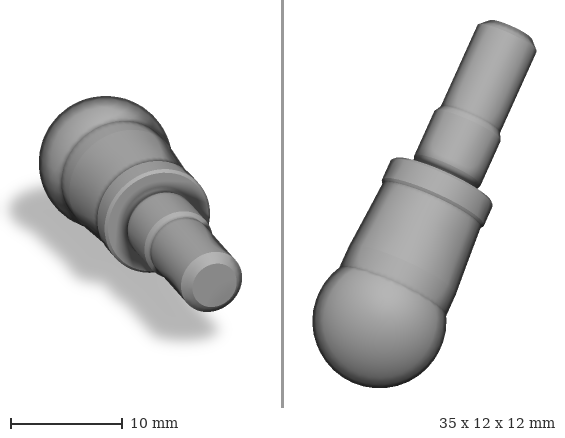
import cadquery as cq
import math

TOTAL_LENGTH = 35.0

BALL_RADIUS = 12.0 / 2

NECK_RADIUS = 10.5 / 2
NECK_END = 11.02
TAPER_END = 17.55
TAPER_END_RADIUS = 9.62 / 2
WAIST_SAG = 0.01

COLLAR_RADIUS = 10.0 / 2
COLLAR_START = 17.8
COLLAR_END = 20.0
COLLAR_CHAMFER = 0.25

RELIEF_RADIUS = 6.12 / 2
RELIEF_FILLET = 0.3
RELIEF_FLAT_LENGTH = 0.1
SEAT_RADIUS = 6.5 / 2
SEAT_START = 21.0
SEAT_END = 25.45
SHANK_RADIUS = 5.8 / 2
SHANK_START = 26.08
TIP_CHAMFER = 0.8


def revolve_about_x(profile):
    """Turn a closed half-profile, drawn as (x, radius), about the X axis."""
    return profile.close().revolve(360, (0, 0, 0), (1, 0, 0))


def make_ball():
    """Full sphere whose tip touches the YZ plane."""
    return cq.Workplane("XY").sphere(BALL_RADIUS).translate((BALL_RADIUS, 0, 0))


def make_stud():
    """Socketed neck, waisted taper, collar, relief groove, seat and shank."""
    socket_rim = BALL_RADIUS + math.sqrt(BALL_RADIUS**2 - NECK_RADIUS**2)
    socket_bottom = 2 * BALL_RADIUS
    arc_offset = BALL_RADIUS * math.sqrt(0.5)
    socket_middle = (BALL_RADIUS + arc_offset, arc_offset)
    collar_face_radius = COLLAR_RADIUS - COLLAR_CHAMFER
    relief_start = COLLAR_END + RELIEF_FILLET
    fillet_offset = RELIEF_FILLET * (1 - math.sqrt(0.5))
    fillet_middle = (COLLAR_END + fillet_offset, RELIEF_RADIUS + fillet_offset)
    profile = (
        cq.Workplane("XY")
        .moveTo(socket_bottom, 0)
        .threePointArc(socket_middle, (socket_rim, NECK_RADIUS))
        .lineTo(NECK_END, NECK_RADIUS)
        .sagittaArc((TAPER_END, TAPER_END_RADIUS), -WAIST_SAG)
        .lineTo(COLLAR_START, COLLAR_RADIUS)
        .lineTo(COLLAR_END - COLLAR_CHAMFER, COLLAR_RADIUS)
        .lineTo(COLLAR_END, collar_face_radius)
        .lineTo(COLLAR_END, RELIEF_RADIUS + RELIEF_FILLET)
        .threePointArc(fillet_middle, (relief_start, RELIEF_RADIUS))
        .lineTo(relief_start + RELIEF_FLAT_LENGTH, RELIEF_RADIUS)
        .lineTo(SEAT_START, SEAT_RADIUS)
        .lineTo(SEAT_END, SEAT_RADIUS)
        .lineTo(SHANK_START, SHANK_RADIUS)
        .lineTo(TOTAL_LENGTH - TIP_CHAMFER, SHANK_RADIUS)
        .lineTo(TOTAL_LENGTH, SHANK_RADIUS - TIP_CHAMFER)
        .lineTo(TOTAL_LENGTH, 0)
    )
    return revolve_about_x(profile)


ball = make_ball()
stud = make_stud()

result = cq.Compound.makeCompound([ball.val(), stud.val()])